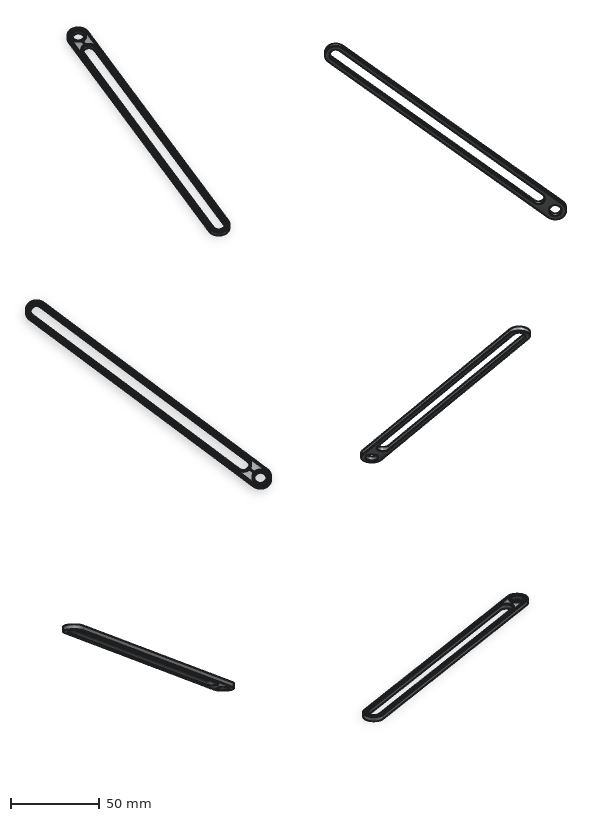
import cadquery as cq

length = 175.0
width = 12.5
thickness = 3.2
edge_chamfer = 0.3

hole_diameter = 7.0
slot_width = hole_diameter
slot_start_x = -72.3

recess_depth = 0.5
outer_rim_width = 1.0
opening_rim_diameter = 9.3
rib_width = 0.5

end_x = (length - width) / 2
hole_x = -end_x
slot_left_x = slot_start_x + slot_width / 2
slot_right_x = end_x
recess_floor = thickness - recess_depth


def rounded_bar(left_x, right_x, bar_width, bottom, height):
    """Bar along X whose end arcs are centred on left_x and right_x."""
    return (
        cq.Workplane("XY", origin=((left_x + right_x) / 2, 0, bottom))
        .slot2D(right_x - left_x + bar_width, bar_width)
        .extrude(height)
    )


def hole_disc(diameter, bottom, height):
    """Disc on the axis of the round hole."""
    return cq.Workplane("XY", origin=(hole_x, 0, bottom)).circle(diameter / 2).extrude(height)


def pierced_bar():
    """Bar with the hole and the slot, chamfered along every top and bottom edge."""
    bar = rounded_bar(-end_x, end_x, width, 0, thickness)
    hole = hole_disc(hole_diameter, 0, thickness)
    slot = rounded_bar(slot_left_x, slot_right_x, slot_width, 0, thickness)
    return bar.cut(hole).cut(slot).faces("<Z or >Z").edges().chamfer(edge_chamfer)


def recess():
    """Volume removed from the top face, leaving the rims and a rib that joins the two openings."""
    area = rounded_bar(-end_x, end_x, width - 2 * outer_rim_width, recess_floor, recess_depth)
    hole_rim = hole_disc(opening_rim_diameter, recess_floor, recess_depth)
    slot_rim = rounded_bar(slot_left_x, slot_right_x, opening_rim_diameter, recess_floor, recess_depth)
    rib = (
        cq.Workplane("XY", origin=((hole_x + slot_left_x) / 2, 0, recess_floor))
        .rect(slot_left_x - hole_x, rib_width)
        .extrude(recess_depth)
    )
    return area.cut(hole_rim).cut(slot_rim).cut(rib)


result = pierced_bar().cut(recess())